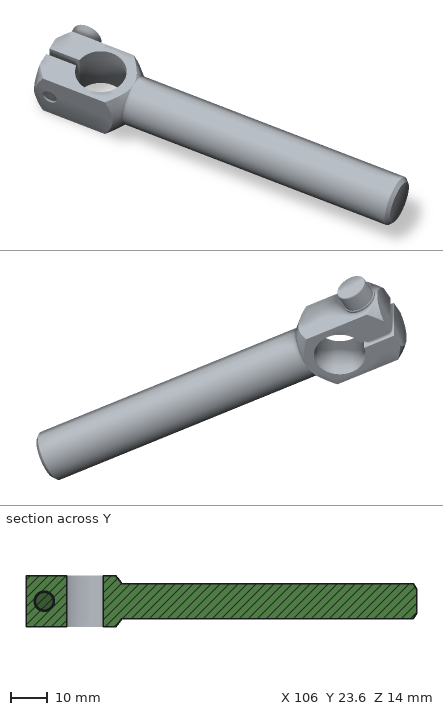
import cadquery as cq

total_length = 106.0
block_length = 26.0
block_width = 18.0
shaft_diameter = 14.0
block_height = shaft_diameter
bore_diameter = 14.0
bore_x = 16.0
slot_width = 2.0
free_end_cone_radius = 8.5
shaft_end_chamfer = 1.1

screw_x = 5.0
screw_diameter = 5.0
clearance_diameter = 5.3
tip_hole_diameter = 4.2
tip_hole_depth = 0.6
head_diameter = 8.5
head_length = 5.0
head_edge_radius = 0.4
washer_diameter = 9.0
washer_thickness = 0.6

half_width = block_width / 2
half_slot = slot_width / 2
shaft_radius = shaft_diameter / 2
screw_tip_y = tip_hole_depth - half_width
head_seat_y = half_width + washer_thickness


def rod_along_y(diameter, start_y, end_y):
    """Cylinder on the screw axis, from start_y to end_y."""
    return (
        cq.Workplane("XZ", origin=(screw_x, start_y, 0))
        .circle(diameter / 2)
        .extrude(start_y - end_y)
    )


def make_turned_envelope():
    """Solid about X whose 45 degree cones bevel both ends of the block."""
    cone_meeting_x = (block_length + shaft_radius - free_end_cone_radius) / 2
    cone_meeting_radius = free_end_cone_radius + cone_meeting_x
    return (
        cq.Workplane("XY")
        .polyline([
            (0, 0),
            (0, free_end_cone_radius),
            (cone_meeting_x, cone_meeting_radius),
            (block_length, shaft_radius),
            (block_length, 0),
        ])
        .close()
        .revolve(360, (0, 0, 0), (1, 0, 0))
    )


def make_clamp():
    block = cq.Workplane("XY").box(
        block_length, block_width, block_height, centered=(False, True, True)
    )
    block = block.intersect(make_turned_envelope())

    shaft = (
        cq.Workplane("YZ", origin=(block_length, 0, 0))
        .circle(shaft_radius)
        .extrude(total_length - block_length)
        .faces(">X")
        .chamfer(shaft_end_chamfer)
    )
    bore = (
        cq.Workplane("XY", origin=(bore_x, 0, 0))
        .circle(bore_diameter / 2)
        .extrude(block_height, both=True)
    )
    slot = cq.Workplane("XY").box(
        bore_x, slot_width, block_height, centered=(False, True, True)
    )
    clearance_hole = rod_along_y(clearance_diameter, half_slot, half_width)
    screw_hole = rod_along_y(screw_diameter, screw_tip_y, half_slot)
    tip_hole = rod_along_y(tip_hole_diameter, -half_width, screw_tip_y)
    return (
        block.union(shaft)
        .cut(bore)
        .cut(slot)
        .cut(clearance_hole)
        .cut(screw_hole)
        .cut(tip_hole)
    )


def make_washer():
    disc = rod_along_y(washer_diameter, half_width, head_seat_y)
    return disc.cut(rod_along_y(clearance_diameter, half_width, head_seat_y))


def make_screw():
    head = (
        rod_along_y(head_diameter, head_seat_y, head_seat_y + head_length)
        .faces(">Y")
        .edges()
        .fillet(head_edge_radius)
    )
    return head.union(rod_along_y(screw_diameter, screw_tip_y, head_seat_y))


clamp = make_clamp()
washer = make_washer()
screw = make_screw()

result = cq.Compound.makeCompound([clamp.val(), washer.val(), screw.val()])